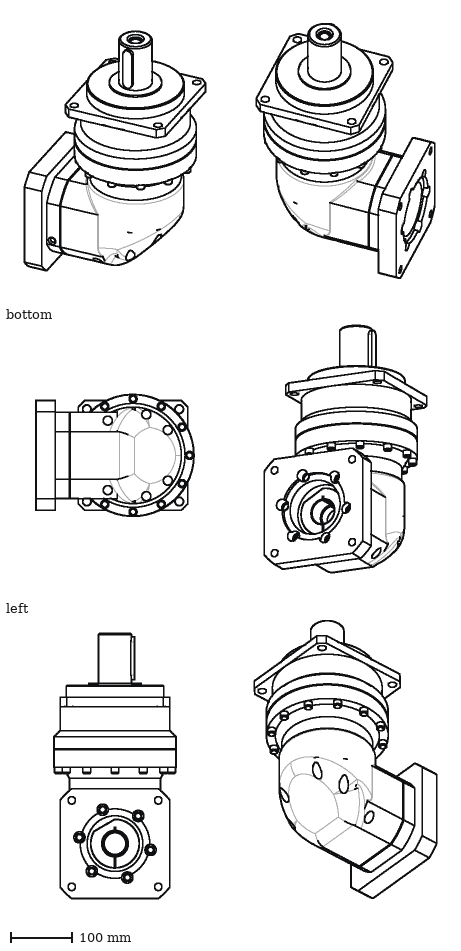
import cadquery as cq
import math


shaft_top_z = 345.0
collar_top_z = 262.5
pilot_top_z = 259.5
square_top_z = 240.0
square_bottom_z = 224.5
barrel_bottom_z = 185.3
split_z = 155.3
ring_bottom_z = 125.0
neck_cone_bottom_z = 107.0
neck_bottom_z = 81.8

plate_outer_x = -159.0
plate_inner_x = -127.5
adapter_inner_x = -103.0
hub_outer_x = -124.0
hub_inner_x = -61.0

shaft_radius = 27.5
shaft_chamfer = 2.5
collar_radius = 43.0
shaft_seat_z = 174.0
center_mouth_radius = 14.0
center_recess_radius = 11.0
center_recess_depth = 5.2
center_hole_radius = 8.0
center_hole_depth = 39.0
key_width = 16.0
key_length = 71.0
key_height = 10.0
key_top_gap = 5.5
key_face_y = -32.0

square_half = 90.0
square_chamfer = 11.0
pilot_radius = 80.0
pilot_chamfer = 1.7
barrel_radius = square_half
ring_radius = 100.0
mount_hole_offset = 75.5
mount_hole_diameter = 13.5

neck_radius = 75.0
neck_cone_top_radius = 85.2
column_radius = 79.0
shoulder_round = column_radius - neck_radius
block_half = 71.0
block_corner_radius = 81.0
joint_fillet = 3.5
slant_offset = 62.5
slant_fillet = 34.0
block_end_x = -26.0
seam_width = 1.5
seam_depth = 1.0
bolt_count = 12
bolt_circle_radius = 92.5
bolt_head_radius = 6.5
bolt_head_height = 10.0
bolt_head_chamfer = 1.7
access_circle_radius = 70.5
access_hole_radius = 7.5
access_hole_top_z = 21.7
access_angles = (36, 72, 126)

clearance = 0.5
hub_radius = 39.5
hub_flat_distance = 34.5
hub_flat_angle = 60
hub_bore_radius = 20.5
hub_bore_mouth_radius = 21.7
hub_bore_depth = 32.5
hub_inner_bore_radius = 18.0
hub_slit_depth = 52.0
slit_width = 2.5
slit_top_reach = 26.5
side_hole_x = -118.0
side_hole_z = -31.0
side_hole_radius = 4.0
side_hole_mouth_radius = 6.5
side_hole_depth = 21.7

plate_corner_radius = 115.0
plate_bore_radius = 45.5
spigot_radius = 52.0
plate_recess_radius = 57.0
plate_recess_depth = 6.5
plate_hole_offset = 71.0
plate_hole_radius = 6.0
plate_hole_depth = 21.7
screw_circle_radius = 59.0
screw_count = 6
screw_start_angle = 10
screw_recess_radius = 9.0
screw_recess_depth = 19.5
screw_hole_radius = 6.0
tapped_hole_radius = 5.0
tapped_hole_depth = 15.2

drill_tip_angle = 118


def cylinder_z(radius, z_low, z_high):
    return cq.Workplane("XY").workplane(offset=z_low).circle(radius).extrude(z_high - z_low)


def cylinder_x(radius, x_low, x_high):
    return cq.Workplane("YZ").workplane(offset=x_low).circle(radius).extrude(x_high - x_low)


def drill(x, y, z, direction, radius, depth):
    """Blind drilled hole with a conical tip, starting at a point and running along a direction."""
    start = cq.Vector(x, y, z)
    axis = cq.Vector(*direction)
    tip = radius / math.tan(math.radians(drill_tip_angle / 2))
    barrel = cq.Solid.makeCylinder(radius, depth, start, axis)
    cone = cq.Solid.makeCone(radius, 0, tip, start + axis * depth, axis)
    return cq.Workplane(obj=barrel.fuse(cone))


def rounded_square_x(half, corner_radius, x_low, x_high):
    """Square bar along X whose corners lie on a cylinder around the X axis."""
    bar = cq.Workplane("YZ").workplane(offset=x_low).rect(2 * half, 2 * half).extrude(x_high - x_low)
    return bar.intersect(cylinder_x(corner_radius, x_low, x_high))


def make_shaft():
    """Keyed output shaft with a sealing collar, seated in a blind bore of the output housing."""
    shaft = cylinder_z(shaft_radius, shaft_seat_z, shaft_top_z).faces(">Z").chamfer(shaft_chamfer)
    shaft = shaft.union(cylinder_z(collar_radius, pilot_top_z, collar_top_z))
    mouth_depth = center_mouth_radius - center_recess_radius
    mouth = cq.Workplane(obj=cq.Solid.makeCone(
        center_recess_radius, center_mouth_radius, mouth_depth,
        cq.Vector(0, 0, shaft_top_z - mouth_depth)))
    recess = cylinder_z(center_recess_radius, shaft_top_z - center_recess_depth, shaft_top_z)
    hole = drill(0, 0, shaft_top_z, (0, 0, -1), center_hole_radius, center_hole_depth)
    return shaft.cut(mouth).cut(recess).cut(hole).cut(make_key())


def make_key():
    """Round-ended parallel key on the -Y side of the shaft."""
    center_z = shaft_top_z - key_top_gap - key_length / 2
    return (cq.Workplane("XZ", origin=(0, key_face_y + key_height, center_z))
            .slot2D(key_length, key_width, 90).extrude(key_height))


def make_output_housing():
    """Square output flange with pilot, barrel and flared lower rim."""
    flare = ring_radius - barrel_radius
    profile = [(0, split_z), (ring_radius, split_z), (ring_radius, barrel_bottom_z - flare),
               (barrel_radius, barrel_bottom_z), (barrel_radius, square_bottom_z),
               (pilot_radius, square_bottom_z), (pilot_radius, pilot_top_z - pilot_chamfer),
               (pilot_radius - pilot_chamfer, pilot_top_z), (0, pilot_top_z)]
    housing = cq.Workplane("XZ").polyline(profile).close().revolve(360, (0, 0), (0, 1))
    flange = (cq.Workplane("XY").workplane(offset=square_bottom_z)
              .rect(2 * square_half, 2 * square_half).extrude(square_top_z - square_bottom_z)
              .edges("|Z").chamfer(square_chamfer))
    holes = (cq.Workplane("XY").workplane(offset=square_bottom_z)
             .rect(2 * mount_hole_offset, 2 * mount_hole_offset, forConstruction=True)
             .vertices().circle(mount_hole_diameter / 2).extrude(square_top_z - square_bottom_z))
    return housing.union(flange.cut(holes)).cut(cylinder_z(shaft_radius, shaft_seat_z, pilot_top_z))


def make_column():
    """Vertical column, rounded below where it meets the horizontal cylinder and the slanted face."""
    column = cylinder_z(column_radius, -block_half, neck_bottom_z).faces(">Z").edges().fillet(shoulder_round)
    lower_limit = cylinder_x(block_corner_radius, -column_radius, column_radius)
    upper_space = cylinder_z(column_radius, 0, neck_bottom_z)
    column = column.intersect(lower_limit.union(upper_space))

    reach = 2 * ring_radius
    beyond_slant = (cq.Workplane("XZ")
                    .polyline([(slant_offset - reach, -reach), (slant_offset + reach, -reach),
                               (slant_offset + reach, reach)])
                    .close().extrude(reach, both=True))
    column = column.cut(beyond_slant)

    slant_edges = column.faces(cq.selectors.DirectionMinMaxSelector(cq.Vector(1, 0, -1))).edges().vals()
    lower_edges = [edge for edge in column.edges().vals()
                   if edge.geomType() == "BSPLINE" and edge.BoundingBox().zmax < 0]
    return cq.Workplane(obj=column.val().fillet(slant_fillet, slant_edges + lower_edges))


def is_joint_edge(edge):
    """True for the edges where the flats, top and upper corners of the block run into the column."""
    tolerance = 0.05
    ends = (edge.startPoint(), edge.endPoint())
    on_column = all(abs(math.hypot(end.x, end.y) - column_radius) < tolerance for end in ends)
    below_block_top = edge.BoundingBox().zmax < block_half + tolerance
    return on_column and below_block_top and edge.Center().x < 0 and edge.Center().z > 0


def make_elbow_core():
    """Column joined to the horizontal block."""
    block = rounded_square_x(block_half, block_corner_radius, adapter_inner_x, block_end_x)
    core = make_column().union(block)
    joint_edges = [edge for edge in core.edges().vals() if is_joint_edge(edge)]
    return cq.Workplane(obj=core.val().fillet(joint_fillet, joint_edges))


def make_bolt_head():
    return (cylinder_z(bolt_head_radius, ring_bottom_z - bolt_head_height, ring_bottom_z)
            .faces("<Z").chamfer(bolt_head_chamfer))


def make_hub_profile(extra, x_low, x_high):
    """Round bar with one flat, enlarged all round by an extra distance."""
    radius = hub_radius + extra
    bar = cylinder_x(radius, x_low, x_high)
    keep = (cq.Workplane("YZ").workplane(offset=x_low)
            .center(hub_flat_distance + extra - radius, 0).rect(2 * radius, 2 * radius)
            .extrude(x_high - x_low).rotate((0, 0, 0), (1, 0, 0), hub_flat_angle))
    return bar.intersect(keep)


def make_elbow():
    """Elbow housing with its bolted ring, neck, column and input block."""
    seam_z = split_z - seam_width
    profile = [(0, 0), (neck_radius, 0), (neck_radius, neck_cone_bottom_z),
               (neck_cone_top_radius, ring_bottom_z), (ring_radius, ring_bottom_z),
               (ring_radius, seam_z), (ring_radius - seam_depth, seam_z),
               (ring_radius - seam_depth, split_z), (0, split_z)]
    upper = cq.Workplane("XZ").polyline(profile).close().revolve(360, (0, 0), (0, 1))
    upper = upper.cut(cylinder_z(column_radius, 0, neck_bottom_z - shoulder_round))
    elbow = make_elbow_core().union(upper)

    for index in range(bolt_count):
        angle = math.radians(index * 360 / bolt_count)
        elbow = elbow.union(make_bolt_head().translate(
            (bolt_circle_radius * math.cos(angle), bolt_circle_radius * math.sin(angle), 0)))

    for angle in access_angles:
        for side in (-1, 1):
            direction = math.radians(angle)
            hole = cylinder_z(access_hole_radius, -block_half, access_hole_top_z)
            elbow = elbow.cut(hole.translate((access_circle_radius * math.cos(direction),
                                              side * access_circle_radius * math.sin(direction), 0)))
    return elbow.cut(make_hub_profile(clearance, adapter_inner_x, hub_inner_x))


def screw_places():
    """Y and Z of the screws that hold the motor plate on the adapter."""
    places = []
    for index in range(screw_count):
        angle = math.radians(screw_start_angle + index * 360 / screw_count)
        places.append((screw_circle_radius * math.cos(angle), screw_circle_radius * math.sin(angle)))
    return places


def make_adapter():
    """Input adapter between the elbow and the motor plate, with a shallow seam at the elbow."""
    seam_x = adapter_inner_x - seam_width
    adapter = rounded_square_x(block_half, block_corner_radius, plate_inner_x, seam_x)
    adapter = adapter.union(rounded_square_x(block_half - seam_depth, block_corner_radius - seam_depth,
                                             seam_x, adapter_inner_x))
    adapter = adapter.cut(cylinder_x(spigot_radius, plate_inner_x, hub_outer_x))
    adapter = adapter.cut(make_hub_profile(clearance, hub_outer_x, adapter_inner_x))
    for y, z in screw_places():
        adapter = adapter.cut(drill(plate_inner_x, y, z, (1, 0, 0), tapped_hole_radius, tapped_hole_depth))

    side_hole = drill(side_hole_x, -block_half, side_hole_z, (0, 1, 0), side_hole_radius, side_hole_depth)
    mouth_depth = side_hole_mouth_radius - side_hole_radius
    mouth = cq.Workplane(obj=cq.Solid.makeCone(
        side_hole_mouth_radius, side_hole_radius, mouth_depth,
        cq.Vector(side_hole_x, -block_half, side_hole_z), cq.Vector(0, 1, 0)))
    return adapter.cut(side_hole).cut(mouth)


def make_motor_plate():
    """Square motor plate with a spigot, pilot recess, bore, sunk screw holes and tapped corner holes."""
    plate = rounded_square_x(square_half, plate_corner_radius, plate_outer_x, plate_inner_x)
    plate = plate.union(cylinder_x(spigot_radius, plate_inner_x, hub_outer_x))
    plate = plate.cut(cylinder_x(plate_bore_radius, plate_outer_x, hub_outer_x))
    plate = plate.cut(cylinder_x(plate_recess_radius, plate_outer_x, plate_outer_x + plate_recess_depth))
    for y, z in screw_places():
        sink = cylinder_x(screw_recess_radius, plate_outer_x, plate_outer_x + screw_recess_depth)
        hole = cylinder_x(screw_hole_radius, plate_outer_x, plate_inner_x)
        plate = plate.cut(sink.union(hole).translate((0, y, z)))
    for y in (-plate_hole_offset, plate_hole_offset):
        for z in (-plate_hole_offset, plate_hole_offset):
            plate = plate.cut(drill(plate_outer_x, y, z, (1, 0, 0), plate_hole_radius, plate_hole_depth))
    return plate


def make_clamp_hub():
    """Slit clamp hub that takes the motor shaft, flattened on one side to reach the clamp screw."""
    hub = make_hub_profile(0, hub_outer_x, hub_inner_x)
    slit_end_x = hub_outer_x + hub_slit_depth
    bore = cylinder_x(hub_bore_radius, hub_outer_x, hub_outer_x + hub_bore_depth)
    inner_bore = cylinder_x(hub_inner_bore_radius, hub_outer_x, slit_end_x)
    mouth_depth = hub_bore_mouth_radius - hub_bore_radius
    mouth = cq.Workplane(obj=cq.Solid.makeCone(
        hub_bore_mouth_radius, hub_bore_radius, mouth_depth,
        cq.Vector(hub_outer_x, 0, 0), cq.Vector(1, 0, 0)))
    slit_height = slit_top_reach + hub_radius
    slit = (cq.Workplane("XY", origin=((hub_outer_x + slit_end_x) / 2, 0, -hub_radius))
            .rect(hub_slit_depth, slit_width).extrude(slit_height))
    return hub.cut(bore).cut(inner_bore).cut(mouth).cut(slit)


shaft = make_shaft()
key = make_key()
output_housing = make_output_housing()
elbow = make_elbow()
adapter = make_adapter()
motor_plate = make_motor_plate()
clamp_hub = make_clamp_hub()

result = cq.Compound.makeCompound([
    shaft.solids().val(),
    key.solids().val(),
    output_housing.solids().val(),
    elbow.solids().val(),
    adapter.solids().val(),
    motor_plate.solids().val(),
    clamp_hub.solids().val(),
])